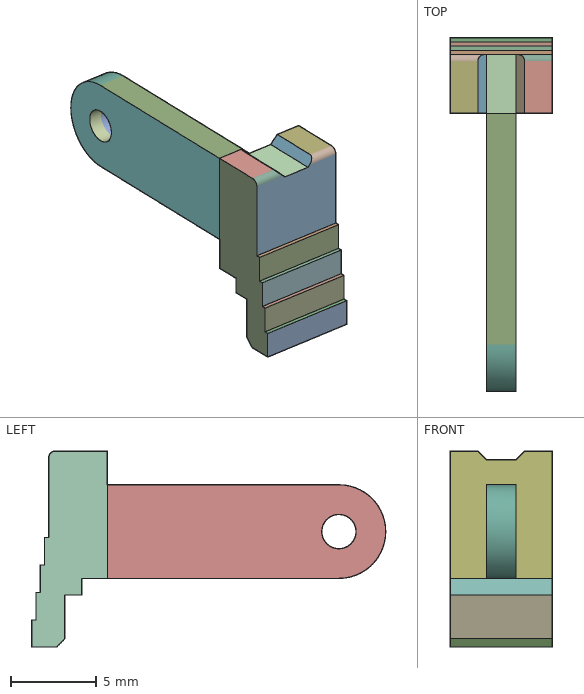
import cadquery as cq

length = 20.75
width = 6.0
height = 11.5

head_depth = 4.45
ledge_depth = 2.95
leg_thickness = 1.95
ledge_height = 3.05
leg_chamfer = 0.5
top_fillet = 0.4
step_count = 4
step_depth = 0.25
step_height = 1.608

notch_floor_width = 1.75
notch_depth = 0.5

arm_thickness = 1.75
arm_height = 5.5
arm_bottom = 4.03
hole_diameter = 2.0

head_front = -head_depth
arm_radius = arm_height / 2
arm_top = arm_bottom + arm_height
arm_axis_y = arm_radius - length
arm_axis_z = arm_bottom + arm_radius
head_back = -step_count * step_depth


def make_head():
    """Extrude the stepped side outline across the full width."""
    outline = [
        (leg_chamfer - leg_thickness, 0),
        (-leg_thickness, leg_chamfer),
        (-leg_thickness, ledge_height),
        (-ledge_depth, ledge_height),
        (-ledge_depth, arm_bottom),
        (head_front, arm_bottom),
        (head_front, height),
        (head_back, height),
    ]
    for step in range(step_count, 0, -1):
        tread_z = step * step_height
        outline.append((-step * step_depth, tread_z))
        outline.append((-(step - 1) * step_depth, tread_z))
    outline.append((0, 0))
    head = cq.Workplane("YZ").polyline(outline).close().extrude(width / 2, both=True)
    return head.faces(">Z").edges(">Y").fillet(top_fillet)


def make_notch():
    """Tapered channel running along Y through the head top."""
    floor_half = notch_floor_width / 2
    top_half = floor_half + notch_depth
    floor_z = height - notch_depth
    return (
        cq.Workplane("XZ")
        .polyline([(-floor_half, floor_z), (floor_half, floor_z), (top_half, height), (-top_half, height)])
        .close()
        .extrude(head_depth)
    )


def make_arm():
    """Flat arm reaching forward from the head, pierced at its round end."""
    arm = (
        cq.Workplane("YZ")
        .moveTo(head_front, arm_bottom)
        .lineTo(arm_axis_y, arm_bottom)
        .threePointArc((-length, arm_axis_z), (arm_axis_y, arm_top))
        .lineTo(head_front, arm_top)
        .close()
        .extrude(arm_thickness / 2, both=True)
    )
    hole = (
        cq.Workplane("YZ")
        .center(arm_axis_y, arm_axis_z)
        .circle(hole_diameter / 2)
        .extrude(arm_thickness, both=True)
    )
    return arm.cut(hole)


result = make_head().cut(make_notch()).union(make_arm())